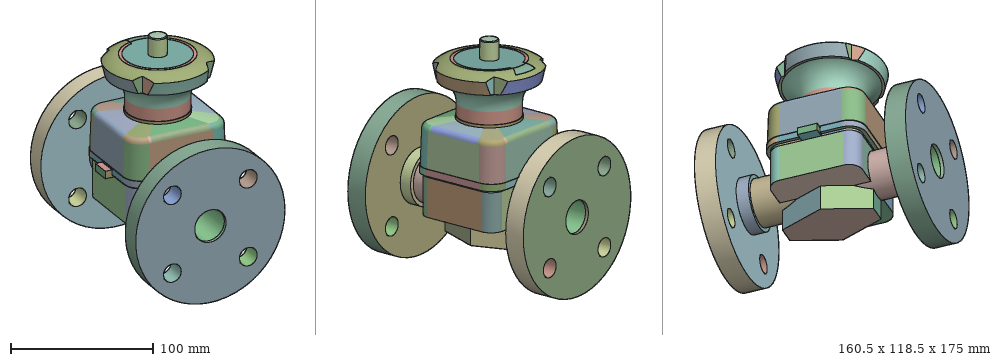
import cadquery as cq
import math


TOTAL_HEIGHT = 175.0
FACE_TO_FACE = 160.5
FLANGE_DIAMETER = 118.5

FLANGE_THICKNESS = 16.1
HUB_RADIUS = 20.8
HUB_LENGTH = 9.5
PIPE_RADIUS = 17.9
BORE_RADIUS = 12.5
PIPE_END_SETBACK = 2.6
BOLT_HOLE_OFFSET = 30.1
BOLT_HOLE_RADIUS = 7.0

BODY_HALF_X = 34.7
BODY_HALF_Y = 37.6
BODY_CORNER_RADIUS = 10.2
BODY_BOTTOM = -13.1
BODY_TOP = 16.6
BASE_BOTTOM = -33.0
BASE_MIDDLE_HALF_WIDTH = 20.5
BASE_END_HALF_WIDTH = 7.0

DIAPHRAGM_THICKNESS = 5.8
TAG_WIDTH = 15.0
TAG_REACH = 45.5

LIP_HALF_X = 37.6
LIP_HALF_Y = 40.0
LIP_CORNER_RADIUS = 13.3
LIP_BOTTOM = 18.4
LIP_TOP = 23.6
HOOD_INSET = 0.4
HOOD_DRAFT_ANGLE = 1.5
EAVES_HEIGHT = 54.6
EAVES_FILLET_RADIUS = 4.0
COLLAR_RADIUS = 24.0
COLLAR_BOTTOM = 57.0

NECK_BOTTOM = 59.2
NECK_RADIUS = 23.5
FLARE_BOTTOM = 68.6
FLARE_TOP_RADIUS = 35.5
RIM_BOTTOM = 85.8
RIM_BOTTOM_RADIUS = 37.5
RIM_TOP = 96.0
RIM_TOP_RADIUS = 39.9
WHEEL_TOP = 100.8
WHEEL_FLAT_RADIUS = 27.7
NOTCH_COUNT = 4
NOTCH_ROOT_RADIUS = 35.9
NOTCH_STEEP_SIDE_ANGLE = 60.0
NOTCH_FLAT_SIDE_ANGLE = 73.0
NOTCH_DEPTH = 7.0

MARK_DEPTH = 0.2
MARK_RING_INNER_RADIUS = 25.2
POINTER_TIP_RADIUS = 36.0
POINTER_FRONT_Y = -8.2
POINTER_BACK_Y = 6.8
POINTER_TIP_BACK_Y = 11.9

SPINDLE_RADIUS = 6.8
SPINDLE_CHAMFER = 0.7
SPINDLE_CROWN_HEIGHT = 0.5

FLANGE_RADIUS = FLANGE_DIAMETER / 2
FLANGE_FACE_X = FACE_TO_FACE / 2
PIPE_END_X = FLANGE_FACE_X - PIPE_END_SETBACK
DIAPHRAGM_TOP = BODY_TOP + DIAPHRAGM_THICKNESS
SPINDLE_TOP = TOTAL_HEIGHT - FLANGE_RADIUS


def rounded_block(half_x, half_y, corner_radius, bottom, top):
    """Upright block, centred on the Z axis, with rounded corners."""
    block = cq.Workplane("XY", origin=(0, 0, bottom)).rect(2 * half_x, 2 * half_y).extrude(top - bottom)
    return block.edges("|Z").fillet(corner_radius)


def cylinder_x(radius, start, end):
    """Cylinder on the X axis between two X positions."""
    return cq.Workplane("YZ", origin=(start, 0, 0)).circle(radius).extrude(end - start)


def arc_about(centre, radius, start_angle, end_angle):
    """Horizontal arc around a centre point, with the angles in radians."""
    points = []
    for angle in (start_angle, (start_angle + end_angle) / 2, end_angle):
        points.append(centre + cq.Vector(radius * math.cos(angle), radius * math.sin(angle), 0))
    return cq.Edge.makeThreePointArc(*points)


def rounded_outline(half_x, half_y, corner_radius, height):
    """Closed wire of a level rounded rectangle, made of alternating corner arcs and straight sides."""
    centre_x = half_x - corner_radius
    centre_y = half_y - corner_radius
    arcs = []
    for quarter, (sign_x, sign_y) in enumerate([(1, 1), (-1, 1), (-1, -1), (1, -1)]):
        centre = cq.Vector(sign_x * centre_x, sign_y * centre_y, height)
        start = quarter * math.pi / 2
        arcs.append(arc_about(centre, corner_radius, start, start + math.pi / 2))
    edges = []
    for arc, next_arc in zip(arcs, arcs[1:] + arcs[:1]):
        edges += [arc, cq.Edge.makeLine(arc.endPoint(), next_arc.startPoint())]
    return cq.Wire.assembleEdges(edges)


def split_circle(radius, height, side_angle, end_angle):
    """Level circle around Z, split symmetrically at two angles (in radians) in every quarter."""
    angles = [side_angle, end_angle]
    angles += [math.pi - end_angle, math.pi - side_angle]
    angles += [angle + math.pi for angle in angles]
    edges = []
    for start, end in zip(angles, angles[1:] + [angles[0] + 2 * math.pi]):
        edges.append(arc_about(cq.Vector(0, 0, height), radius, start, end))
    return cq.Wire.assembleEdges(edges)


def make_flange(side):
    """Bolted flange with a hub and a socket for the pipe end; side is -1 or +1 along X."""
    face = side * FLANGE_FACE_X
    back = face - side * FLANGE_THICKNESS
    hub_end = back - side * HUB_LENGTH
    flange = cylinder_x(FLANGE_RADIUS, back, face).union(cylinder_x(HUB_RADIUS, hub_end, back))
    bolt_holes = (
        cq.Workplane("YZ", origin=(back, 0, 0))
        .rect(2 * BOLT_HOLE_OFFSET, 2 * BOLT_HOLE_OFFSET, forConstruction=True)
        .vertices()
        .circle(BOLT_HOLE_RADIUS)
        .extrude(face - back)
    )
    socket = cylinder_x(PIPE_RADIUS, hub_end, side * PIPE_END_X)
    bore = cylinder_x(BORE_RADIUS, hub_end, face)
    return flange.cut(bolt_holes).cut(socket).cut(bore)


def make_diaphragm():
    """Plate clamped between body and bonnet, with a tag that sticks out on the -Y side."""
    plate = rounded_block(BODY_HALF_X, BODY_HALF_Y, BODY_CORNER_RADIUS, BODY_TOP, DIAPHRAGM_TOP)
    tag = cq.Workplane("XY", origin=(0, -TAG_REACH / 2, BODY_TOP)).box(
        TAG_WIDTH, TAG_REACH, DIAPHRAGM_THICKNESS, centered=(True, True, False)
    )
    return plate.union(tag)


def make_body(diaphragm):
    """Block on a six-sided base, with a pipe right through it and a flat seat for the diaphragm."""
    block = rounded_block(BODY_HALF_X, BODY_HALF_Y, BODY_CORNER_RADIUS, BODY_BOTTOM, BODY_TOP)
    base_outline = [
        (0, BASE_MIDDLE_HALF_WIDTH),
        (BODY_HALF_X, BASE_END_HALF_WIDTH),
        (BODY_HALF_X, -BASE_END_HALF_WIDTH),
        (0, -BASE_MIDDLE_HALF_WIDTH),
        (-BODY_HALF_X, -BASE_END_HALF_WIDTH),
        (-BODY_HALF_X, BASE_END_HALF_WIDTH),
    ]
    base = cq.Workplane("XY", origin=(0, 0, BASE_BOTTOM)).polyline(base_outline).close().extrude(-BASE_BOTTOM)
    pipe = cylinder_x(PIPE_RADIUS, -PIPE_END_X, PIPE_END_X)
    bore = cylinder_x(BORE_RADIUS, -PIPE_END_X, PIPE_END_X)
    return block.union(base).union(pipe).cut(diaphragm).cut(bore)


def make_hood():
    """Drafted hood with a low roof that blends from a rounded rectangle into the round collar."""
    foot_half_x = LIP_HALF_X - HOOD_INSET
    foot_half_y = LIP_HALF_Y - HOOD_INSET
    draft_inset = (EAVES_HEIGHT - LIP_TOP) * math.tan(math.radians(HOOD_DRAFT_ANGLE))
    eaves_half_x = foot_half_x - draft_inset
    eaves_half_y = foot_half_y - draft_inset
    side_angle = math.atan2(eaves_half_y - LIP_CORNER_RADIUS, eaves_half_x)
    end_angle = math.atan2(eaves_half_y, eaves_half_x - LIP_CORNER_RADIUS)

    foot = rounded_outline(foot_half_x, foot_half_y, LIP_CORNER_RADIUS, LIP_TOP)
    eaves = rounded_outline(eaves_half_x, eaves_half_y, LIP_CORNER_RADIUS, EAVES_HEIGHT)
    collar_foot = split_circle(COLLAR_RADIUS, COLLAR_BOTTOM, side_angle, end_angle)
    walls = cq.Workplane(cq.Solid.makeLoft([foot, eaves], True))
    roof = cq.Workplane(cq.Solid.makeLoft([eaves, collar_foot], True))
    eaves_band = cq.selectors.BoxSelector(
        (-LIP_HALF_X, -LIP_HALF_Y, (LIP_TOP + EAVES_HEIGHT) / 2),
        (LIP_HALF_X, LIP_HALF_Y, (EAVES_HEIGHT + COLLAR_BOTTOM) / 2),
        boundingbox=True,
    )
    return walls.union(roof).edges(eaves_band).fillet(EAVES_FILLET_RADIUS)


def make_bonnet(diaphragm):
    """Hood on a lip, with a collar on top, hollowed to take the diaphragm and its tag."""
    lip = rounded_block(LIP_HALF_X, LIP_HALF_Y, LIP_CORNER_RADIUS, LIP_BOTTOM, LIP_TOP)
    collar_height = NECK_BOTTOM - COLLAR_BOTTOM
    collar = cq.Workplane("XY", origin=(0, 0, COLLAR_BOTTOM)).circle(COLLAR_RADIUS).extrude(collar_height)
    return lip.union(make_hood()).union(collar).cut(diaphragm)


def make_wheel_blank():
    """Turned wheel: straight neck, hollow flare, tapered rim and a crown that runs flat at the top."""
    flare_width = FLARE_TOP_RADIUS - NECK_RADIUS
    flare_height = RIM_BOTTOM - FLARE_BOTTOM
    return (
        cq.Workplane("XZ")
        .moveTo(0, NECK_BOTTOM)
        .lineTo(NECK_RADIUS, NECK_BOTTOM)
        .lineTo(NECK_RADIUS, FLARE_BOTTOM)
        .tangentArcPoint((flare_width, flare_height), relative=True)
        .lineTo(RIM_BOTTOM_RADIUS, RIM_BOTTOM)
        .lineTo(RIM_TOP_RADIUS, RIM_TOP)
        .threePointArc(crown_midpoint(), (WHEEL_FLAT_RADIUS, WHEEL_TOP))
        .lineTo(0, WHEEL_TOP)
        .close()
        .revolve(360, (0, 0, 0), (0, 1, 0))
    )


def crown_midpoint():
    """Middle point of the crown arc, which starts level at the edge of the flat top."""
    width = RIM_TOP_RADIUS - WHEEL_FLAT_RADIUS
    drop = WHEEL_TOP - RIM_TOP
    arc_radius = (width**2 + drop**2) / (2 * drop)
    half_angle = math.asin(width / arc_radius) / 2
    radius = WHEEL_FLAT_RADIUS + arc_radius * math.sin(half_angle)
    height = WHEEL_TOP - arc_radius * (1 - math.cos(half_angle))
    return (radius, height)


def make_grip_notch(angle):
    """Lopsided V-shaped cutter that opens outwards from its root, turned about Z by an angle in degrees."""
    outer_radius = NOTCH_ROOT_RADIUS + NOTCH_DEPTH
    flat_side_width = NOTCH_DEPTH * math.tan(math.radians(NOTCH_FLAT_SIDE_ANGLE))
    steep_side_width = NOTCH_DEPTH * math.tan(math.radians(NOTCH_STEEP_SIDE_ANGLE))
    return (
        cq.Workplane("XY", origin=(0, 0, RIM_BOTTOM))
        .moveTo(NOTCH_ROOT_RADIUS, 0)
        .lineTo(outer_radius, flat_side_width)
        .lineTo(outer_radius, -steep_side_width)
        .close()
        .extrude(WHEEL_TOP - RIM_BOTTOM)
        .rotate((0, 0, 0), (0, 0, 1), angle)
    )


def make_position_mark(wheel):
    """Thin skin of the wheel top in the shape of a ring that opens into a pointer on the -X side."""
    height = WHEEL_TOP - RIM_TOP
    level = cq.Workplane("XY", origin=(0, 0, RIM_TOP))
    flat_top = level.circle(WHEEL_FLAT_RADIUS).extrude(height)
    pointer_corner_x = math.sqrt(POINTER_TIP_RADIUS**2 - POINTER_TIP_BACK_Y**2)
    pointer_outline = [
        (0, POINTER_FRONT_Y),
        (-POINTER_TIP_RADIUS, POINTER_FRONT_Y),
        (-POINTER_TIP_RADIUS, POINTER_TIP_BACK_Y),
        (-pointer_corner_x, POINTER_TIP_BACK_Y),
        (-WHEEL_FLAT_RADIUS, POINTER_BACK_Y),
        (0, POINTER_BACK_Y),
    ]
    sector = level.polyline(pointer_outline).close().extrude(height)
    sector = sector.intersect(level.circle(POINTER_TIP_RADIUS).extrude(height))
    ring = flat_top.cut(level.circle(MARK_RING_INNER_RADIUS).extrude(height)).cut(sector)
    skin = wheel.cut(wheel.translate((0, 0, -MARK_DEPTH)))
    return skin.intersect(ring.union(sector.cut(flat_top)))


def make_spindle_end():
    """Chamfered round end with a slightly crowned tip."""
    shoulder = SPINDLE_TOP - SPINDLE_CROWN_HEIGHT
    tip_radius = SPINDLE_RADIUS - SPINDLE_CHAMFER
    crown_radius = (tip_radius**2 + SPINDLE_CROWN_HEIGHT**2) / (2 * SPINDLE_CROWN_HEIGHT)
    half_angle = math.asin(tip_radius / crown_radius) / 2
    crown_middle = (
        crown_radius * math.sin(half_angle),
        SPINDLE_TOP - crown_radius * (1 - math.cos(half_angle)),
    )
    return (
        cq.Workplane("XZ")
        .moveTo(0, WHEEL_TOP)
        .lineTo(SPINDLE_RADIUS, WHEEL_TOP)
        .lineTo(SPINDLE_RADIUS, shoulder - SPINDLE_CHAMFER)
        .lineTo(tip_radius, shoulder)
        .threePointArc(crown_middle, (0, SPINDLE_TOP))
        .close()
        .revolve(360, (0, 0, 0), (0, 1, 0))
    )


def make_handwheel():
    """Handwheel with grip notches halfway between the X and Y axes, and the spindle end on top."""
    wheel = make_wheel_blank()
    for index in range(NOTCH_COUNT):
        wheel = wheel.cut(make_grip_notch((index + 0.5) * 360 / NOTCH_COUNT))
    wheel = wheel.cut(make_position_mark(wheel))
    return wheel.union(make_spindle_end())


diaphragm = make_diaphragm()
body = make_body(diaphragm)
bonnet = make_bonnet(diaphragm)
handwheel = make_handwheel()
flanges = [make_flange(side) for side in (-1, 1)]

result = cq.Compound.makeCompound(
    [body.val(), diaphragm.val(), bonnet.val(), handwheel.val(), *[flange.val() for flange in flanges]]
)